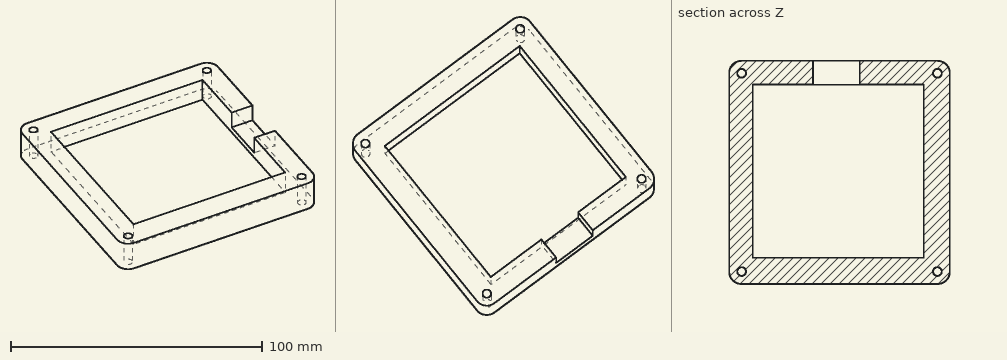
import cadquery as cq

length_x = 88.0
width_y = 89.0
height = 13.0
corner_radius = 5.0

pocket_x = 68.0
pocket_y = 69.0
pocket_left_wall = 9.5
pocket_back_wall = 9.5
floor_thickness = 3.0

notch_left = 33.5
notch_width = 18.5
notch_depth = 7.5

screw_hole_diameter = 3.4


def make_block():
    block = cq.Workplane("XY").box(length_x, width_y, height, centered=False)
    return block.edges("|Z").fillet(corner_radius)


def make_pocket():
    pocket_front = width_y - pocket_back_wall - pocket_y
    pocket_depth = height - floor_thickness
    pocket = cq.Workplane("XY").box(pocket_x, pocket_y, pocket_depth, centered=False)
    return pocket.translate((pocket_left_wall, pocket_front, floor_thickness))


def make_notch():
    notch = cq.Workplane("XY").box(notch_width, pocket_back_wall, notch_depth, centered=False)
    return notch.translate((notch_left, width_y - pocket_back_wall, height - notch_depth))


def make_screw_holes():
    centers = [
        (x, y)
        for x in (corner_radius, length_x - corner_radius)
        for y in (corner_radius, width_y - corner_radius)
    ]
    return cq.Workplane("XY").pushPoints(centers).circle(screw_hole_diameter / 2).extrude(height)


result = make_block().cut(make_pocket()).cut(make_notch()).cut(make_screw_holes())